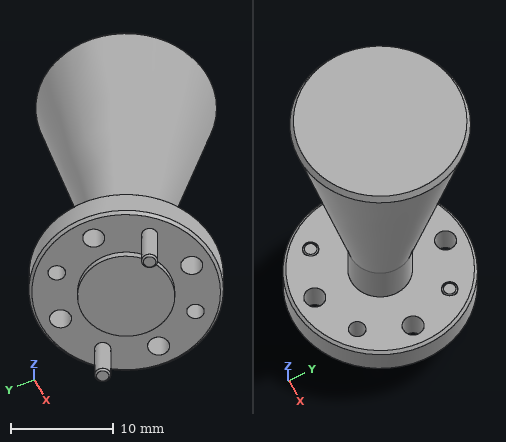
import cadquery as cq
import math

total_height = 36.9
flange_diameter = 19.05
flange_bottom = 4.6
flange_top = 7.93
flange_chamfer = 0.3
boss_bottom = 3.9
boss_radius = 4.75
neck_radius = 3.17
neck_top = 12.58
rim_radius = 8.85
rim_height = 0.65
end_face_radius = 8.5

pitch_radius = 7.15
bolt_hole_diameter = 2.15
alignment_hole_diameter = 1.7
pin_diameter = 1.6
pin_chamfer = 0.2
pin_angles = (45, 225)
alignment_hole_angles = (135, 315)
bolt_hole_angles = (0, 90, 180, 270)


def pitch_points(angles):
    """Points on the pitch circle at the given angles in degrees."""
    return [
        (pitch_radius * math.cos(math.radians(a)), pitch_radius * math.sin(math.radians(a)))
        for a in angles
    ]


def flange_holes(diameter, angles):
    """Cutters that pass through the whole flange thickness."""
    return (
        cq.Workplane("XY", origin=(0, 0, flange_bottom))
        .pushPoints(pitch_points(angles))
        .circle(diameter / 2)
        .extrude(flange_top - flange_bottom)
    )


def make_horn():
    """Boss, flange, neck and cone turned about Z, then drilled through the flange."""
    flange_radius = flange_diameter / 2
    horn = (
        cq.Workplane("XZ")
        .moveTo(0, boss_bottom)
        .lineTo(boss_radius, boss_bottom)
        .lineTo(boss_radius, flange_bottom)
        .lineTo(flange_radius - flange_chamfer, flange_bottom)
        .lineTo(flange_radius, flange_bottom + flange_chamfer)
        .lineTo(flange_radius, flange_top - flange_chamfer)
        .lineTo(flange_radius - flange_chamfer, flange_top)
        .lineTo(neck_radius, flange_top)
        .lineTo(neck_radius, neck_top)
        .lineTo(rim_radius, total_height - rim_height)
        .lineTo(end_face_radius, total_height)
        .lineTo(0, total_height)
        .close()
        .revolve(360, (0, 0, 0), (0, 1, 0))
    )
    horn = horn.cut(flange_holes(bolt_hole_diameter, bolt_hole_angles))
    horn = horn.cut(flange_holes(alignment_hole_diameter, alignment_hole_angles))
    return horn.cut(flange_holes(pin_diameter, pin_angles))


def make_pin(x, y):
    """Dowel chamfered at both ends, its upper end flush with the flange top."""
    return (
        cq.Workplane("XY", origin=(x, y, 0))
        .circle(pin_diameter / 2)
        .extrude(flange_top)
        .edges()
        .chamfer(pin_chamfer)
    )


horn = make_horn()
pins = [make_pin(x, y) for x, y in pitch_points(pin_angles)]

result = cq.Compound.makeCompound([horn.val(), *[pin.val() for pin in pins]])